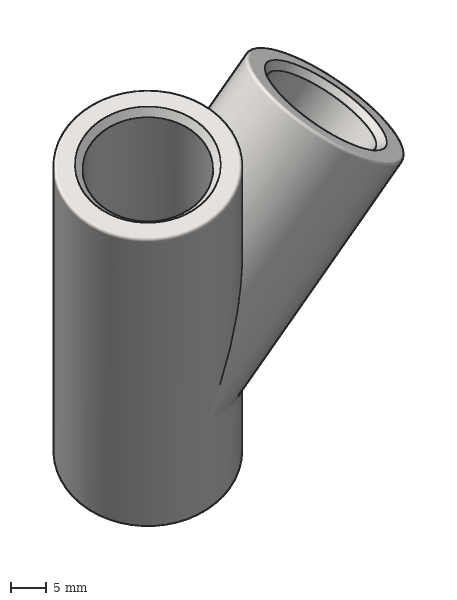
import cadquery as cq

outer_diameter = 27.0
bore_diameter = 18.6
run_length = 68.0
branch_length = 46.45
branch_height = 21.7
branch_angle = 45.0
rim_fillet = 0.5
crotch_fillet = 2.05
mouth_chamfer = 1.1


def cylinder(diameter, length):
    """Upright cylinder standing on the XY plane."""
    return cq.Workplane("XY").circle(diameter / 2).extrude(length)


def as_branch(body):
    """Tilt an upright body toward +Y and lift it to the axis crossing."""
    return body.rotate((0, 0, 0), (1, 0, 0), -branch_angle).translate((0, 0, branch_height))


def bore(length):
    """Bore cutter whose upper end flares into the mouth bevel."""
    flare = (
        cq.Workplane("XY", origin=(0, 0, length - mouth_chamfer))
        .circle(bore_diameter / 2)
        .workplane(offset=mouth_chamfer)
        .circle(bore_diameter / 2 + mouth_chamfer)
        .loft()
    )
    return cylinder(bore_diameter, length).union(flare)


run = cylinder(outer_diameter, run_length).faces("<Z or >Z").edges().fillet(rim_fillet)
branch = as_branch(cylinder(outer_diameter, branch_length).faces(">Z").edges().fillet(rim_fillet))

half_bore = bore(run_length / 2)
run_bore = half_bore.union(half_bore.mirror("XY")).translate((0, 0, run_length / 2))
branch_bore = as_branch(bore(branch_length))

branch_side = cq.Workplane("XY").box(
    outer_diameter, 2 * branch_length, run_length, centered=(True, False, False)
)
body = run.union(branch.intersect(branch_side))

seam_zone = cq.selectors.BoxSelector(
    (-outer_diameter, 0, branch_height / 2),
    (outer_diameter, outer_diameter, branch_height),
)
body = body.edges(seam_zone).edges("not |Z").fillet(crotch_fillet)

result = body.cut(run_bore).cut(branch_bore)